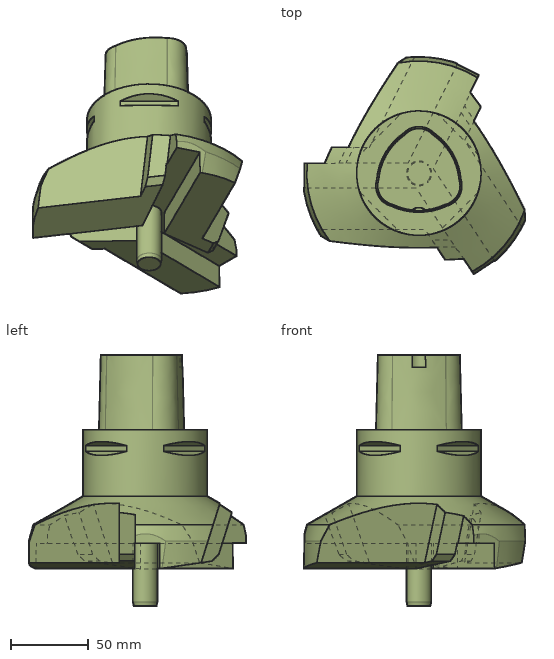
import cadquery as cq
import math


shank_length = 48.0
shank_mean_radius = 27.5
shank_lobe_height = 2.35
shank_corner_half_angle = 20.6
shank_radius_loss = 1.2
shank_taper = math.degrees(math.atan(shank_radius_loss / shank_length))
shank_notch_radius = 6.2
shank_notch_depth = 8.0
shank_notch_floor_y = -22.1

flange_radius = 40.0
flange_length = 42.8
groove_count = 4
groove_first_angle = 45.0
groove_z = -12.2
groove_floor_distance = 35.4
groove_floor_width = 3.6
groove_flank_angle = 30.0

cone_radius = 72.0
cone_bottom_z = -61.1
rim_radius = 74.75
rim_top_z = -71.6
head_bottom_z = -89.4

blade_angles = (0.0, 123.5, 243.5)
inner_leading_offset = 16.7
outer_leading_offset = 6.4
pocket_wall_offset = 6.8
pocket_seat_offset = -9.3
pocket_top_z = -73.0
rim_flat_distance = 73.6
rim_flat_tilt = 1.3
relief_angle = 8.2

gash_tilt = 17.5
gash_offset = 47.8
gash_reference_z = -48.1
ledge_corner_reach = 57.8
ledge_bottom_z = -80.2

pin_radius = 8.005
pin_tip_z = -113.5
pin_tip_length = 3.0
pin_tip_radius = 7.4

reach = 120.0
margin = 5.0


def polar(radius, angle):
    return (radius * math.cos(math.radians(angle)), radius * math.sin(math.radians(angle)))


def turned(shape, angle):
    return shape.rotate((0, 0, 0), (0, 0, 1), angle)


def box(x_range, y_range, z_range):
    size = [high - low for low, high in (x_range, y_range, z_range)]
    corner = cq.Vector(x_range[0], y_range[0], z_range[0])
    return cq.Workplane(obj=cq.Solid.makeBox(*size, pnt=corner))


def extruded_along_x(outline_yz):
    return cq.Workplane("YZ").polyline(outline_yz).close().extrude(reach, both=True)


def make_shank():
    corner_radius = shank_mean_radius + shank_lobe_height
    flank_radius = shank_mean_radius - shank_lobe_height
    outline = cq.Workplane("XY").moveTo(*polar(shank_mean_radius, 90 - shank_corner_half_angle))
    for corner in (90, 210, 330):
        corner_end = corner + shank_corner_half_angle
        next_corner_start = corner + 120 - shank_corner_half_angle
        outline = outline.threePointArc(
            polar(corner_radius, corner), polar(shank_mean_radius, corner_end)
        )
        outline = outline.threePointArc(
            polar(flank_radius, corner + 60), polar(shank_mean_radius, next_corner_start)
        )
    shank = outline.close().extrude(shank_length, taper=shank_taper)
    notch = (
        cq.Workplane("XY", origin=(0, 0, shank_length - shank_notch_depth))
        .center(0, shank_notch_floor_y - shank_notch_radius)
        .circle(shank_notch_radius)
        .extrude(shank_notch_depth + margin)
    )
    return shank.cut(notch)


def make_flange_and_head():
    profile = [
        (0, 0),
        (flange_radius, 0),
        (flange_radius, -flange_length),
        (cone_radius, cone_bottom_z),
        (rim_radius, rim_top_z),
        (rim_radius, head_bottom_z),
        (0, head_bottom_z),
    ]
    return cq.Workplane("XZ").polyline(profile).close().revolve(360, (0, 0), (0, 1))


def make_gripper_groove():
    """Straight trapezoid groove on the -Y side of the flange."""
    outer_distance = flange_radius + margin
    floor_half = groove_floor_width / 2
    flank_rise = (outer_distance - groove_floor_distance) * math.tan(math.radians(groove_flank_angle))
    mouth_half = floor_half + flank_rise
    return extruded_along_x([
        (-groove_floor_distance, groove_z - floor_half),
        (-groove_floor_distance, groove_z + floor_half),
        (-outer_distance, groove_z + mouth_half),
        (-outer_distance, groove_z - mouth_half),
    ])


def gash_y(z):
    return -gash_offset - (z - gash_reference_z) * math.tan(math.radians(gash_tilt))


def beyond_leading_face(offset, turn):
    """Space in front of the leading face of the blade turned by the given angle."""
    return turned(box((-reach, reach), (offset, reach), (-reach, reach)), turn)


def make_gash(next_blade_turn):
    """Gash behind the -X blade, stepped where it meets the leading side of the next blade."""
    top_z = -flange_length + margin
    bottom_z = head_bottom_z - margin
    deep = extruded_along_x([
        (gash_y(top_z), top_z),
        (gash_y(bottom_z), bottom_z),
        (-reach, bottom_z),
        (-reach, top_z),
    ]).intersect(beyond_leading_face(inner_leading_offset, next_blade_turn))

    turn = math.radians(next_blade_turn)
    ledge_offset = ledge_corner_reach * math.sin(turn) - inner_leading_offset * math.cos(turn)
    ledge_shift = ledge_offset - gash_offset
    ledge_bottom_y = gash_y(ledge_bottom_z) - ledge_shift
    ledge = extruded_along_x([
        (gash_y(top_z) - ledge_shift, top_z),
        (ledge_bottom_y, ledge_bottom_z),
        (ledge_bottom_y + ledge_bottom_z - bottom_z, bottom_z),
        (-reach, bottom_z),
        (-reach, top_z),
    ]).intersect(beyond_leading_face(outer_leading_offset, next_blade_turn))
    return deep.union(ledge)


def make_underside_relief(next_blade_turn):
    """Wedge under the -X blade, ending at the insert pocket of the next blade."""
    rise = (reach + pocket_seat_offset) * math.tan(math.radians(relief_angle))
    wedge = extruded_along_x([
        (pocket_seat_offset, head_bottom_z),
        (-reach, head_bottom_z + rise),
        (-reach, head_bottom_z - margin),
        (pocket_seat_offset, head_bottom_z - margin),
    ])
    return wedge.intersect(beyond_leading_face(0, next_blade_turn))


def make_insert_pocket():
    """Slot under the leading side of the -X blade, open from the axis to the rim."""
    return box(
        (-reach, 0), (pocket_seat_offset, pocket_wall_offset), (head_bottom_z - margin, pocket_top_z)
    )


def make_rim_flat():
    flat = box(
        (-reach, -rim_flat_distance), (-flange_radius, flange_radius), (-reach, -flange_length)
    )
    return flat.rotate(
        (-rim_flat_distance, 0, rim_top_z), (-rim_flat_distance, 1, rim_top_z), rim_flat_tilt
    )


def make_pin():
    profile = [
        (0, pocket_top_z),
        (pin_radius, pocket_top_z),
        (pin_radius, pin_tip_z + pin_tip_length),
        (pin_tip_radius, pin_tip_z),
        (0, pin_tip_z),
    ]
    return cq.Workplane("XZ").polyline(profile).close().revolve(360, (0, 0), (0, 1))


body = make_flange_and_head()

for index in range(groove_count):
    groove_angle = groove_first_angle + index * 360 / groove_count
    body = body.cut(turned(make_gripper_groove(), groove_angle))

for index, angle in enumerate(blade_angles):
    next_angle = blade_angles[(index + 1) % len(blade_angles)]
    next_turn = (next_angle - angle) % 360
    blade_cutters = (
        make_gash(next_turn),
        make_underside_relief(next_turn),
        make_insert_pocket(),
        make_rim_flat(),
    )
    for cutter in blade_cutters:
        body = body.cut(turned(cutter, angle))

result = body.union(make_shank()).union(make_pin())